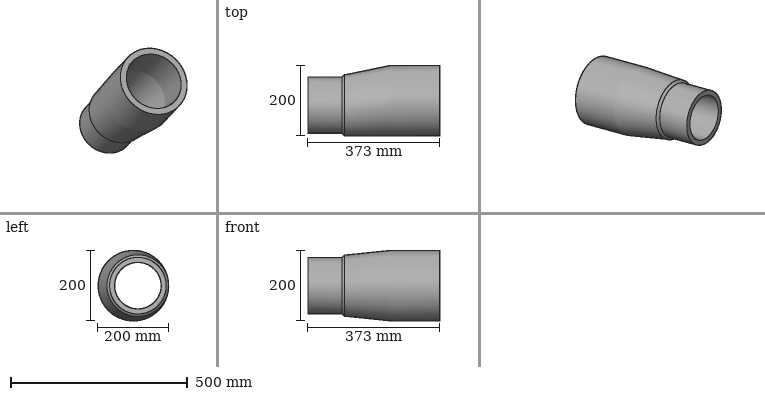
import cadquery as cq

total_length = 373.0
large_diameter = 200.0
large_bore = 163.7
small_diameter = 160.0
small_bore = 131.0
collar_diameter = 174.5

spigot_length = 96.5
collar_width = 7.5
large_pipe_length = 138.8
collar_bevel = (collar_diameter - small_diameter) / 2

collar_start = spigot_length + collar_bevel
taper_start = collar_start + collar_width
taper_end = total_length - large_pipe_length

small_axis_y = -(large_diameter - collar_diameter) / 2
large_axis_y = 0.0


def pipe_section(start, end, start_diameter, end_diameter, start_y, end_y):
    """Straight, conical or skewed round section between two X stations."""
    if start_diameter == end_diameter and start_y == end_y:
        profile = cq.Workplane("YZ", origin=(start, start_y, 0)).circle(start_diameter / 2)
        return profile.extrude(end - start)
    start_circle = cq.Wire.makeCircle(
        start_diameter / 2, cq.Vector(start, start_y, 0), cq.Vector(1, 0, 0)
    )
    end_circle = cq.Wire.makeCircle(
        end_diameter / 2, cq.Vector(end, end_y, 0), cq.Vector(1, 0, 0)
    )
    return cq.Workplane(obj=cq.Solid.makeLoft([start_circle, end_circle], True))


def small_section(start, end, start_diameter, end_diameter):
    """Section centred on the axis of the narrow end."""
    return pipe_section(start, end, start_diameter, end_diameter, small_axis_y, small_axis_y)


def reducer_body(small_end, large_end):
    """Skewed taper from the narrow axis to the wide one, with the wide pipe after it."""
    taper = pipe_section(taper_start, taper_end, small_end, large_end, small_axis_y, large_axis_y)
    pipe = pipe_section(taper_end, total_length, large_end, large_end, large_axis_y, large_axis_y)
    return taper.union(pipe)


spigot = small_section(0, spigot_length, small_diameter, small_diameter)
bevel = small_section(spigot_length, collar_start, small_diameter, collar_diameter)
collar = small_section(collar_start, taper_start, collar_diameter, collar_diameter)
outer = spigot.union(bevel).union(collar).union(reducer_body(collar_diameter, large_diameter))

small_bore_section = small_section(0, taper_start, small_bore, small_bore)
bore = small_bore_section.union(reducer_body(small_bore, large_bore))

result = outer.cut(bore)